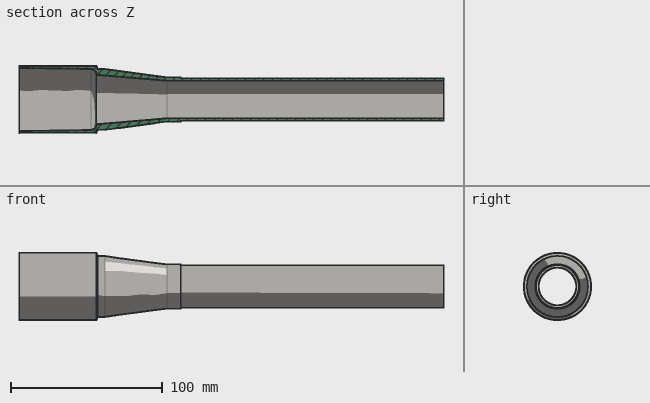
import cadquery as cq
import math

total_length = 279.5
socket_length = 50.9
shoulder_end = 51.7
collar_end = 56.5
cone_end = 97.0
neck_end = 106.2

socket_radius = 44.5 / 2
collar_radius = 40.2 / 2
neck_radius = 29.3 / 2
tube_radius = 28.2 / 2

socket_mouth_radius = 41.4 / 2
socket_root_radius = 40.0 / 2
throat_radius = 32.5 / 2
bore_radius = 24.5 / 2

seat_round = socket_root_radius - throat_radius
seat_start = socket_length - seat_round
seat_middle = (
    seat_start + seat_round * math.sin(math.pi / 4),
    throat_radius + seat_round * math.cos(math.pi / 4),
)

half_section = (
    cq.Workplane("XY")
    .moveTo(0, socket_radius)
    .lineTo(socket_length, socket_radius)
    .lineTo(shoulder_end, collar_radius)
    .lineTo(collar_end, collar_radius)
    .lineTo(cone_end, neck_radius)
    .lineTo(neck_end, neck_radius)
    .lineTo(neck_end, tube_radius)
    .lineTo(total_length, tube_radius)
    .lineTo(total_length, bore_radius)
    .lineTo(cone_end, bore_radius)
    .lineTo(socket_length, throat_radius)
    .threePointArc(seat_middle, (seat_start, socket_root_radius))
    .lineTo(0, socket_mouth_radius)
    .close()
)

result = half_section.revolve(360, (0, 0, 0), (1, 0, 0))